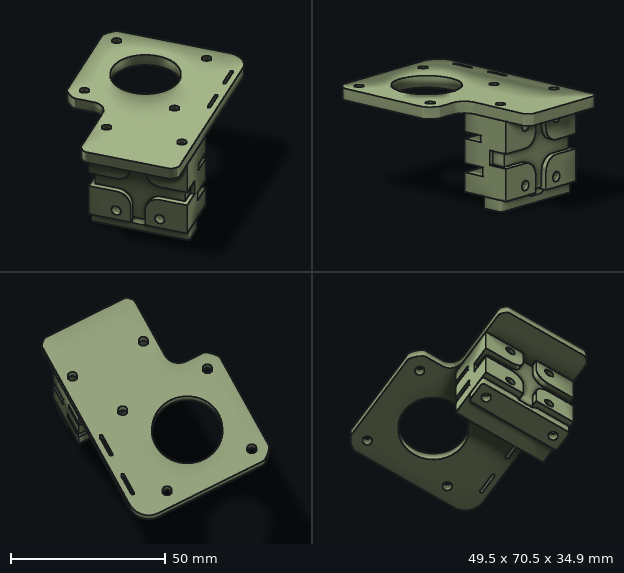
import cadquery as cq
import math

plate_width = 49.5
plate_length = 70.5
plate_thickness = 4.0
bar_height = plate_thickness
block_height = 26.9
block_width = 34.0
block_depth = 18.0

bar_top = bar_height
block_top = bar_top + block_height

motor_square = 42.0
motor_x = motor_square / 2
motor_y = plate_length - motor_square / 2
motor_bore_diameter = 23.0
motor_hole_spacing = 31.0
plate_hole_diameter = 3.1
motor_corner_reach = 4.15
motor_corner_pull = 3.0

block_left = plate_width - block_width
big_corner_radius = 7.0
inner_corner_radius = 5.0
front_chamfer = 2.0
front_blend_radius = 2.0

tie_slot_length = 8.0
tie_slot_width = 1.0
tie_slot_spacing = 15.0
tie_slot_edge_distance = 2.7
tie_slot_x = plate_width - tie_slot_edge_distance

block_front = 10.0
block_back = block_front + block_depth
block_centre_x = block_left + block_width / 2
block_centre_z = bar_top + block_height / 2
mount_hole_spacing = 25.95
mount_hole_y = 16.0
clamp_hole_diameter = 3.3
clamp_hole_spacing_x = 15.0
clamp_hole_spacing_z = 20.0

groove_depth = 2.0
groove_width = 5.0
groove_corner_radius = 5.0
groove_end_radius = 1.7
side_recess_inset = 1.5
side_recess_depth = 7.0

return_slot_depth = 8.0
return_slot_height = 3.0
return_slot_bottom = 10.65
wavy_slot_depth = 7.1
wavy_slot_height = 2.25
wavy_slot_bottom = 22.0
wave_rise = 0.8
wave_dip = 3 * wave_rise
crest_length = 3.5
trough_length = 3 * crest_length

bar_depth = 8.0
bar_back = block_back - return_slot_depth
bar_front = bar_back - bar_depth
bar_edge_radius = 1.0
bar_groove_depth = 1.5
bar_groove_radius = 1.0


def box_between(x_range, y_range, z_range):
    """Box given by its lower and upper limits along each axis."""
    size = [high - low for low, high in (x_range, y_range, z_range)]
    return cq.Workplane("XY").box(*size, centered=False).translate((x_range[0], y_range[0], z_range[0]))


def plate_outline_solid():
    """Plate without its holes: an L shape whose left corners are flattened curves."""
    front = plate_length - motor_square
    back = plate_length
    reach = motor_corner_reach
    pull = motor_corner_pull
    outline = (
        cq.Workplane("XY")
        .moveTo(reach, front)
        .bezier([(reach, front), (pull, front), (0, front + pull), (0, front + reach)])
        .lineTo(0, back - reach)
        .bezier([(0, back - reach), (0, back - pull), (pull, back), (reach, back)])
        .lineTo(plate_width, back)
        .lineTo(plate_width, front_chamfer)
        .lineTo(plate_width - front_chamfer, 0)
        .lineTo(block_left + front_chamfer, 0)
        .lineTo(block_left, front_chamfer)
        .lineTo(block_left, front)
        .close()
        .extrude(plate_thickness)
    )
    rounded_corners = (
        (plate_width, back, big_corner_radius),
        (plate_width, front_chamfer, front_blend_radius),
        (plate_width - front_chamfer, 0, front_blend_radius),
        (block_left + front_chamfer, 0, front_blend_radius),
        (block_left, front_chamfer, front_blend_radius),
        (block_left, front, inner_corner_radius),
    )
    for x, y, radius in rounded_corners:
        corner = cq.selectors.NearestToPointSelector((x, y, plate_thickness / 2))
        outline = outline.edges("|Z").edges(corner).fillet(radius)
    return outline


def mount_holes():
    """Two vertical holes through the plate, the block and the bar."""
    return (
        cq.Workplane("XY")
        .center(block_centre_x, mount_hole_y)
        .rarray(mount_hole_spacing, 0.7, 2, 1)
        .circle(plate_hole_diameter / 2)
        .extrude(block_top + plate_thickness)
    )


def make_plate():
    plate_solid = plate_outline_solid().translate((0, 0, block_top))
    top = cq.Workplane("XY", origin=(0, 0, block_top))
    motor = top.center(motor_x, motor_y)
    bore = motor.circle(motor_bore_diameter / 2).extrude(plate_thickness)
    motor_holes = (
        motor.rect(motor_hole_spacing, motor_hole_spacing, forConstruction=True)
        .vertices()
        .circle(plate_hole_diameter / 2)
        .extrude(plate_thickness)
    )
    tie_slots = (
        top.center(tie_slot_x, motor_y)
        .rarray(0.7, tie_slot_spacing, 1, 2)
        .slot2D(tie_slot_length, tie_slot_width, 90)
        .extrude(plate_thickness)
    )
    return plate_solid.cut(bore).cut(motor_holes).cut(mount_holes()).cut(tie_slots)


def front_groove():
    """Cross-shaped groove whose inner corners and upper and lower ends are rounded."""
    y_range = (block_front, block_front + groove_depth)
    half = groove_width / 2
    x_arm = (block_centre_x - half, block_centre_x + half)
    z_arm = (block_centre_z - half, block_centre_z + half)
    cross = box_between((block_left, plate_width), y_range, z_arm)
    cross = cross.union(box_between(x_arm, y_range, (bar_top, block_top)))
    for x in x_arm:
        for z in z_arm:
            corner = cq.selectors.NearestToPointSelector((x, y_range[0] + groove_depth / 2, z))
            cross = cross.edges("|Y").edges(corner).fillet(groove_corner_radius)

    floor_y = y_range[1]
    for z, inward in ((block_top, -1), (bar_top, 1)):
        bend = groove_end_radius * (1 - math.sqrt(0.5))
        sliver = (
            cq.Workplane("YZ", origin=(x_arm[0], 0, 0))
            .moveTo(floor_y, z)
            .lineTo(floor_y, z + inward * groove_end_radius)
            .threePointArc((floor_y + bend, z + inward * bend), (floor_y + groove_end_radius, z))
            .close()
            .extrude(groove_width)
        )
        cross = cross.union(sliver)
    return cross


def side_recesses():
    """Shallow recesses that carry the cross groove round the block's two sides."""
    y_range = (block_front, block_front + side_recess_depth)
    z_range = (block_centre_z - groove_width / 2, block_centre_z + groove_width / 2)
    left = box_between((block_left, block_left + side_recess_inset), y_range, z_range)
    right = box_between((plate_width - side_recess_inset, plate_width), y_range, z_range)
    return left.union(right)


def return_slot():
    z_range = (return_slot_bottom, return_slot_bottom + return_slot_height)
    return box_between((block_left, plate_width), (block_back - return_slot_depth, block_back), z_range)


def wavy_slot():
    """Slot of constant height that rises over a crest, dips in the middle and rises over a second crest."""
    floor = wavy_slot_bottom
    ceiling = floor + wavy_slot_height
    trough_start = block_centre_x - trough_length / 2
    trough_end = block_centre_x + trough_length / 2
    crest_start = trough_start - crest_length
    crest_end = trough_end + crest_length
    first_crest = trough_start - crest_length / 2
    second_crest = trough_end + crest_length / 2
    return (
        cq.Workplane("XZ", origin=(0, block_back, 0))
        .moveTo(block_left, floor)
        .lineTo(crest_start, floor)
        .threePointArc((first_crest, floor + wave_rise), (trough_start, floor))
        .threePointArc((block_centre_x, floor - wave_dip), (trough_end, floor))
        .threePointArc((second_crest, floor + wave_rise), (crest_end, floor))
        .lineTo(plate_width, floor)
        .lineTo(plate_width, ceiling)
        .lineTo(crest_end, ceiling)
        .threePointArc((second_crest, ceiling + wave_rise), (trough_end, ceiling))
        .threePointArc((block_centre_x, ceiling - wave_dip), (trough_start, ceiling))
        .threePointArc((first_crest, ceiling + wave_rise), (crest_start, ceiling))
        .lineTo(block_left, ceiling)
        .close()
        .extrude(wavy_slot_depth)
    )


def clamp_holes():
    return (
        cq.Workplane("XZ", origin=(block_centre_x, block_back, block_centre_z))
        .rect(clamp_hole_spacing_x, clamp_hole_spacing_z, forConstruction=True)
        .vertices()
        .circle(clamp_hole_diameter / 2)
        .extrude(block_depth)
    )


def make_block():
    block = box_between((block_left, plate_width), (block_front, block_back), (bar_top, block_top))
    for cutter in (front_groove(), side_recesses(), return_slot(), wavy_slot(), clamp_holes(), mount_holes()):
        block = block.cut(cutter)
    return block


def make_bar():
    bar = box_between((block_left, plate_width), (bar_front, bar_back), (0, bar_height))
    bar = bar.edges("|Z").fillet(bar_edge_radius)
    half_floor = groove_width / 2
    half_top = half_floor + bar_groove_depth
    groove_floor = bar_top - bar_groove_depth
    groove = (
        cq.Workplane("XZ", origin=(block_centre_x, bar_back, 0))
        .polyline(
            [(-half_top, bar_top), (-half_floor, groove_floor), (half_floor, groove_floor), (half_top, bar_top)]
        )
        .close()
        .extrude(bar_depth)
        .edges("|Y and <Z")
        .fillet(bar_groove_radius)
    )
    return bar.cut(groove).cut(mount_holes())


plate = make_plate()
block = make_block()
bar = make_bar()

result = cq.Compound.makeCompound([plate.val(), block.val(), bar.val()])